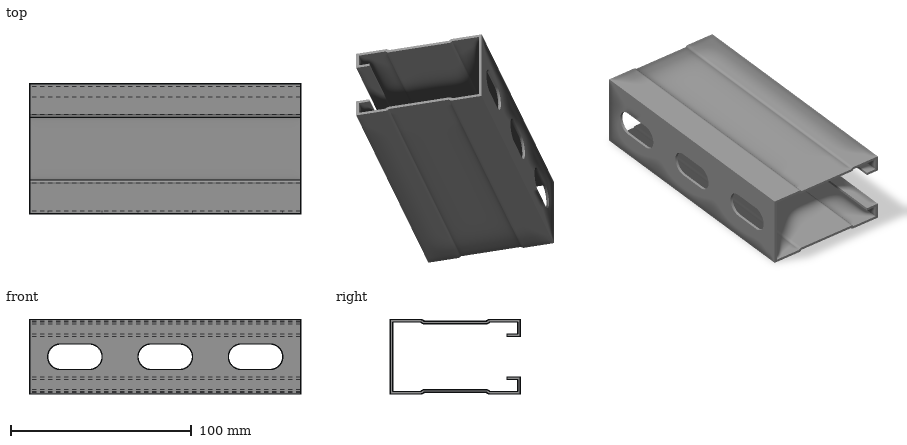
import cadquery as cq
import math

length = 150.0
depth = 72.0
height = 41.2
wall = 1.5

flange_drop = 9.5
lip_length = 7.5

recess_margin = 17.0
shoulder_width = 1.8
recess_depth = 0.9

slot_count = 3
slot_length = 30.0
slot_width = 14.0
slot_pitch = length / slot_count

half_depth = depth / 2
half_height = height / 2

shoulder_radius = (shoulder_width**2 + recess_depth**2) / (2 * recess_depth)
shoulder_angle = math.asin(shoulder_width / shoulder_radius)

shoulder_far = half_depth - recess_margin
shoulder_near = shoulder_far - shoulder_width


def shoulder_middle(y, z, z_direction):
    """Return the point halfway round a shoulder arc.

    The arc leaves the flat at (y, z) tangentially, bends through shoulder_angle
    and runs toward Y = 0 when z_direction is -1, away from it when +1.
    """
    half_angle = shoulder_angle / 2
    side = math.copysign(1, y)
    across = shoulder_radius * math.sin(half_angle)
    rise = shoulder_radius * (1 - math.cos(half_angle))
    return (y + side * z_direction * across, z + z_direction * rise)


def upper_half_profile():
    """Return the closed (Y, Z) section of the channel above Z = 0."""
    outer_floor = half_height - recess_depth
    inner_z = half_height - wall
    inner_floor = inner_z - recess_depth
    lip_bottom = half_height - flange_drop
    lip_top = lip_bottom + wall
    lip_end = half_depth - lip_length
    flange_inner = half_depth - wall
    web_inner = -half_depth + wall

    profile = (
        cq.Workplane("YZ")
        .moveTo(half_depth, half_height)
        .lineTo(shoulder_far, half_height)
        .threePointArc(shoulder_middle(shoulder_far, half_height, -1), (shoulder_near, outer_floor))
        .lineTo(-shoulder_near, outer_floor)
        .threePointArc(shoulder_middle(-shoulder_far, half_height, -1), (-shoulder_far, half_height))
        .lineTo(-half_depth, half_height)
    )
    profile = (
        profile.lineTo(-half_depth, 0)
        .lineTo(web_inner, 0)
        .lineTo(web_inner, inner_z)
    )
    profile = (
        profile.lineTo(-shoulder_far, inner_z)
        .threePointArc(shoulder_middle(-shoulder_near, inner_floor, 1), (-shoulder_near, inner_floor))
        .lineTo(shoulder_near, inner_floor)
        .threePointArc(shoulder_middle(shoulder_near, inner_floor, 1), (shoulder_far, inner_z))
    )
    return (
        profile.lineTo(flange_inner, inner_z)
        .lineTo(flange_inner, lip_top)
        .lineTo(lip_end, lip_top)
        .lineTo(lip_end, lip_bottom)
        .lineTo(half_depth, lip_bottom)
        .close()
    )


upper_half = upper_half_profile().extrude(length / 2, both=True)
channel = upper_half.union(upper_half.mirror("XY"))

slots = (
    cq.Workplane("XZ", origin=(0, -half_depth + wall, 0))
    .rarray(slot_pitch, 1.5, slot_count, 1)
    .slot2D(slot_length, slot_width)
    .extrude(wall)
)

result = channel.cut(slots)